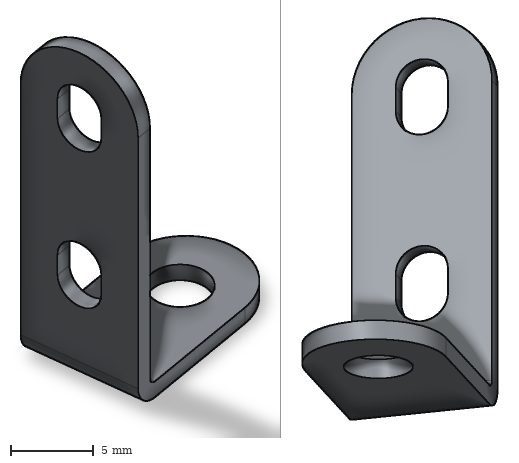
import cadquery as cq

width = 8.9
depth = 15.25
height = 25.4
thickness = 1.22
inner_bend_radius = 0.5

slot_width = 3.3
slot_length = 4.83
lower_slot_height = 8.38
upper_slot_height = 20.37
hole_diameter = 4.2
hole_distance = 10.19

end_radius = width / 2
outer_bend_radius = inner_bend_radius + thickness


def bent_strip():
    """L-shaped strip with a concentric bend along X, outer faces at y = 0 and z = 0."""
    profile = (
        cq.Workplane("YZ")
        .moveTo(0, 0)
        .lineTo(depth, 0)
        .lineTo(depth, thickness)
        .lineTo(thickness, thickness)
        .lineTo(thickness, height)
        .lineTo(0, height)
        .close()
    )
    strip = profile.extrude(width / 2, both=True)
    outer_edge = cq.selectors.NearestToPointSelector((0, 0, 0))
    inner_edge = cq.selectors.NearestToPointSelector((0, thickness, thickness))
    strip = strip.edges("|X").edges(outer_edge).fillet(outer_bend_radius)
    return strip.edges("|X").edges(inner_edge).fillet(inner_bend_radius)


def rounded_end_outline(plane, length):
    """Full-width leg outline from the bend to a semicircular end."""
    return (
        cq.Workplane(plane)
        .moveTo(-width / 2, 0)
        .lineTo(width / 2, 0)
        .lineTo(width / 2, length - end_radius)
        .threePointArc((0, length), (-width / 2, length - end_radius))
        .close()
    )


def round_leg_ends(strip):
    """Trim both legs to their rounded outlines."""
    upright_envelope = rounded_end_outline("XZ", height).extrude(-depth)
    base_envelope = rounded_end_outline("XY", depth).extrude(height)
    return strip.intersect(upright_envelope).intersect(base_envelope)


def upright_slots():
    """Two vertical slots through the upright leg."""
    return (
        cq.Workplane("XZ")
        .pushPoints([(0, lower_slot_height), (0, upper_slot_height)])
        .slot2D(slot_length, slot_width, 90)
        .extrude(-thickness)
    )


def base_hole():
    """Round hole through the base leg."""
    return cq.Workplane("XY").center(0, hole_distance).circle(hole_diameter / 2).extrude(thickness)


result = round_leg_ends(bent_strip()).cut(upright_slots()).cut(base_hole())